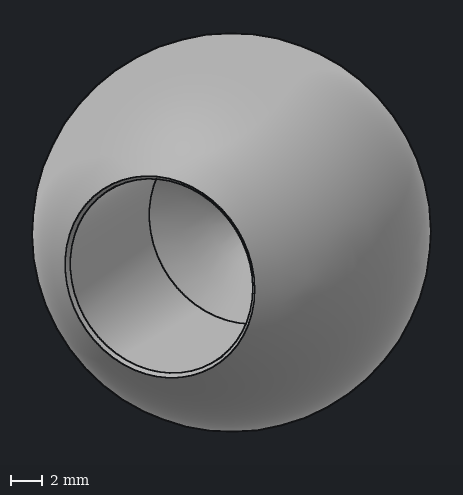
import cadquery as cq
import math

ball_diameter = 25.0
mouth_distance = 10.65
bore_diameter = 12.6
bore_depth = 12.0
drill_point_angle = 118.0

ball_radius = ball_diameter / 2
bore_radius = bore_diameter / 2

mouth_radius = math.sqrt(ball_radius**2 - mouth_distance**2)
chamfer = mouth_radius - bore_radius

mouth_y = -mouth_distance
wall_end_y = mouth_y + bore_depth
tip_y = wall_end_y + bore_radius / math.tan(math.radians(drill_point_angle / 2))

half_section = (
    cq.Workplane("XY")
    .moveTo(0, ball_radius)
    .threePointArc((ball_radius, 0), (mouth_radius, mouth_y))
    .lineTo(bore_radius, mouth_y + chamfer)
    .lineTo(bore_radius, wall_end_y)
    .lineTo(0, tip_y)
    .close()
)
result = half_section.revolve(360, (0, 0, 0), (0, 1, 0))